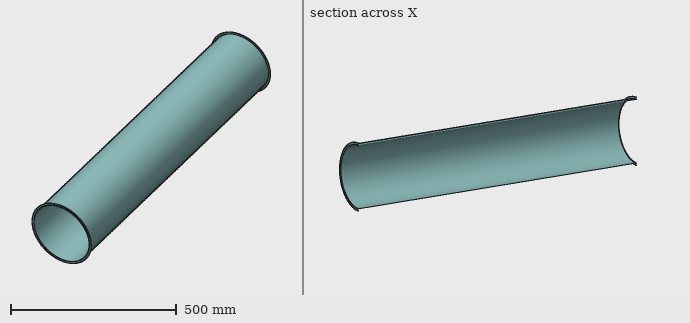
import cadquery as cq

LENGTH = 988.0
BORE_DIAMETER = 199.0
TUBE_DIAMETER = 201.0
FLANGE_DIAMETER = 213.0
FLANGE_THICKNESS = 1.0


def ring(outer_diameter, start_y, length):
    """Ring about the Y axis, open at the bore, growing toward +Y from start_y."""
    return (
        cq.Workplane("XZ", origin=(0, start_y, 0))
        .circle(outer_diameter / 2)
        .circle(BORE_DIAMETER / 2)
        .extrude(-length)
    )


result = ring(TUBE_DIAMETER, -LENGTH / 2, LENGTH)

for flange_start in (-LENGTH / 2, LENGTH / 2 - FLANGE_THICKNESS):
    result = result.union(ring(FLANGE_DIAMETER, flange_start, FLANGE_THICKNESS))